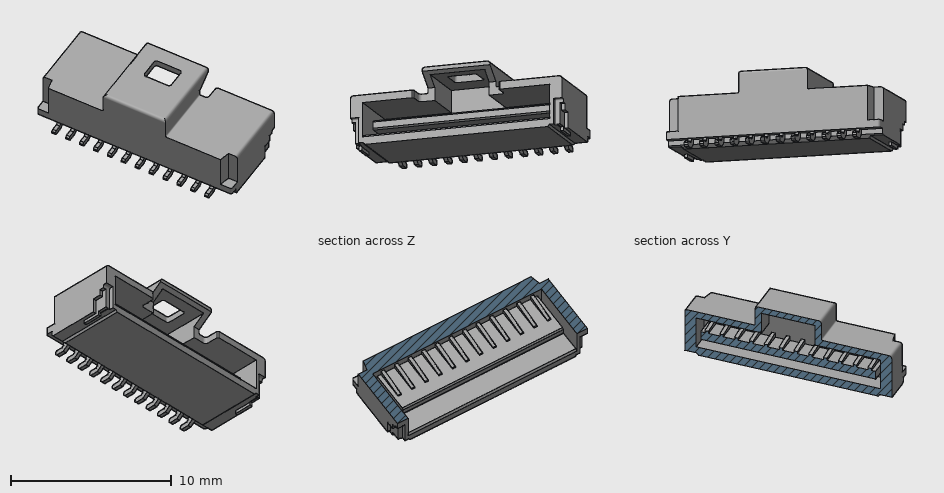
import cadquery as cq


LENGTH = 14.0
HALF_LENGTH = LENGTH / 2
BODY_FRONT_Y = 5.32
BODY_TOP_Z = 3.3
BODY_BOTTOM_Z = 0.22
EDGE_RADIUS = 0.2

HOOD_WIDTH = 4.5
HOOD_FRONT_Y = 5.34
HOOD_TOP_Z = 4.7
HOOD_ROOT_RADIUS = 0.08
HOOD_LIP_Z = 4.44
HOOD_SLOPE_END_Y = 4.24
HOOD_SLOPE_END_Z = 3.64

WALL = 0.5
CAVITY_LENGTH = 12.4
CAVITY_FLOOR_Z = 0.7
CAVITY_BACK_Y = 1.2
HOOD_WALL = 0.45
FLOOR_LEAD_IN = 0.12

TONGUE_LENGTH = 11.8
TONGUE_FRONT_Y = 4.23
TONGUE_BOTTOM_Z = 1.3
TONGUE_TOP_Z = 1.9
TONGUE_CHAMFER = 0.1

RELIEF_LENGTH = 5.64
RELIEF_RADIUS = 0.2
RELIEF_FLARE = 0.1

WINDOW_LENGTH = 1.92
WINDOW_BACK_Y = 2.77
WINDOW_FRONT_Y = 4.28
WINDOW_RADIUS = 0.16

NOTCH_DEPTH = 0.72
NOTCH_INNER_LENGTH = 0.64
NOTCH_OUTER_LENGTH = 0.81
NOTCH_FLOOR_Z = 1.1
CORNER_RADIUS = 0.15

UNDERCUT_TOP_Z = 0.61
UNDERCUT_DEPTH = 0.53
UNDERCUT_CHAMFER_Z = 0.3
RAISED_BASE_Z = 0.08
RAISED_BASE_LENGTH = 12.14
RAISED_BASE_RUN = 0.11

NAIL_OUTER_X = 6.77
NAIL_INNER_X = 6.58
NAIL_FRONT_Y = 5.03
NAIL_STEP_Y = 4.74
NAIL_BACK_Y = 4.15
NAIL_TOP_Z = 1.64
NAIL_STEP_Z = 1.22
NAIL_BOTTOM_Z = 0.27
NAIL_FOOT_FRONT_Y = 4.39
NAIL_FOOT_BACK_Y = 3.1
END_RECESS_X = 6.45
END_RECESS_TOP_Z = 1.86
END_RECESS_RADIUS = 0.1

PIN_COUNT = 12
PITCH = 1.0
PIN_WIDTH = 0.25
TAIL_TIP_Y = -0.56
TAIL_THICKNESS = 0.34
TAIL_OUTER_Y = 0.14
TAIL_HEEL_Y = 0.01
TAIL_BEND_Z = 0.46
TAIL_TIP_CHAMFER = 0.11
BLADE_TIP_Y = 3.22
BLADE_BACK_RISE = 0.3
BLADE_TIP_RISE = 0.05


def block(x_range, y_range, z_range):
    """Box given by its (low, high) limits along each axis."""
    spans = [high - low for low, high in (x_range, y_range, z_range)]
    corner = (x_range[0], y_range[0], z_range[0])
    return cq.Workplane("XY").box(*spans, centered=False).translate(corner)


def centred_block(length, y_range, z_range):
    """Box symmetric about the middle of the pin row."""
    return block((-length / 2, length / 2), y_range, z_range)


def profile_along_x(points, x_start, x_end):
    """Prism with a (y, z) outline, running from x_start to x_end."""
    prism = cq.Workplane("YZ").polyline(points).close().extrude(x_end - x_start)
    return prism.translate((x_start, 0, 0))


def both_ends(solid):
    """The solid together with its mirror image at the other end of the row."""
    return solid.union(solid.mirror("YZ"))


def make_shell():
    """Outer block with the hood, before anything is cut away."""
    body = centred_block(LENGTH, (0, BODY_FRONT_Y), (BODY_BOTTOM_Z, BODY_TOP_Z))
    body = body.edges("|Y and >Z").fillet(EDGE_RADIUS)
    hood = centred_block(HOOD_WIDTH, (0, HOOD_FRONT_Y), (BODY_TOP_Z - WALL, HOOD_TOP_Z))
    hood = hood.faces(">Z").edges("|Y or <Y").fillet(EDGE_RADIUS)
    return body.union(hood).union(make_hood_root()).union(make_raised_base())


def make_hood_root():
    """Concave fillets where the hood sides meet the top of the body."""
    side_x = HOOD_WIDTH / 2
    radius = HOOD_ROOT_RADIUS
    block_y = (0, HOOD_SLOPE_END_Y)
    strip = block((side_x, side_x + radius), block_y, (BODY_TOP_Z, BODY_TOP_Z + radius))
    hollow = (
        cq.Workplane("XZ")
        .center(side_x + radius, BODY_TOP_Z + radius)
        .circle(radius)
        .extrude(-HOOD_SLOPE_END_Y)
    )
    return both_ends(strip.cut(hollow))


def make_raised_base():
    """Shallow pad under the body with sloping ends."""
    bottom_x = RAISED_BASE_LENGTH / 2
    top_x = bottom_x + RAISED_BASE_RUN
    outline = [
        (-top_x, BODY_BOTTOM_Z),
        (-bottom_x, RAISED_BASE_Z),
        (bottom_x, RAISED_BASE_Z),
        (top_x, BODY_BOTTOM_Z),
    ]
    return cq.Workplane("XZ").polyline(outline).close().extrude(-BODY_FRONT_Y)


def make_cavity():
    """Mating cavity, open at the front, with latch room under the hood."""
    y_range = (CAVITY_BACK_Y, HOOD_FRONT_Y)
    main = centred_block(CAVITY_LENGTH, y_range, (CAVITY_FLOOR_Z, BODY_TOP_Z - WALL))
    latch_room = centred_block(
        HOOD_WIDTH - 2 * HOOD_WALL, y_range, (CAVITY_FLOOR_Z, HOOD_TOP_Z - HOOD_WALL)
    )
    lead_in = profile_along_x(
        [
            (BODY_FRONT_Y, CAVITY_FLOOR_Z),
            (BODY_FRONT_Y - FLOOR_LEAD_IN, CAVITY_FLOOR_Z),
            (BODY_FRONT_Y, CAVITY_FLOOR_Z - FLOOR_LEAD_IN),
        ],
        -CAVITY_LENGTH / 2,
        CAVITY_LENGTH / 2,
    )
    return main.union(latch_room).union(lead_in)


def make_hood_undercut():
    """Space below the sloping front lip of the hood."""
    outline = [
        (HOOD_FRONT_Y, HOOD_LIP_Z),
        (HOOD_SLOPE_END_Y, HOOD_SLOPE_END_Z),
        (HOOD_SLOPE_END_Y, BODY_TOP_Z),
        (HOOD_FRONT_Y, BODY_TOP_Z),
    ]
    return profile_along_x(outline, -HOOD_WIDTH / 2, HOOD_WIDTH / 2)


def make_top_relief():
    """Opening in the top wall below the hood lip, flared at the front."""
    z_range = (BODY_TOP_Z - WALL, BODY_TOP_Z)
    relief = centred_block(RELIEF_LENGTH, (HOOD_SLOPE_END_Y, HOOD_FRONT_Y), z_range)
    relief = relief.edges("|Z and <Y").fillet(RELIEF_RADIUS)
    half = RELIEF_LENGTH / 2
    flare = (
        cq.Workplane("XY")
        .workplane(offset=z_range[0])
        .polyline(
            [
                (half, BODY_FRONT_Y - RELIEF_FLARE),
                (half + RELIEF_FLARE, BODY_FRONT_Y),
                (half, BODY_FRONT_Y),
            ]
        )
        .close()
        .extrude(WALL)
    )
    return relief.union(both_ends(flare))


def make_window():
    """Rounded rectangular latch window through the hood roof."""
    y_range = (WINDOW_BACK_Y, WINDOW_FRONT_Y)
    window = centred_block(WINDOW_LENGTH, y_range, (BODY_TOP_Z, HOOD_TOP_Z))
    return window.edges("|Z").fillet(WINDOW_RADIUS)


def make_rear_notches():
    """Upright notches in the two rear corners."""
    outline = [
        (HALF_LENGTH, 0),
        (HALF_LENGTH, NOTCH_DEPTH),
        (HALF_LENGTH - NOTCH_INNER_LENGTH, NOTCH_DEPTH),
        (HALF_LENGTH - NOTCH_OUTER_LENGTH, 0),
    ]
    notch = cq.Workplane("XY").workplane(offset=NOTCH_FLOOR_Z).polyline(outline).close()
    return both_ends(notch.extrude(BODY_TOP_Z - NOTCH_FLOOR_Z))


def make_rear_undercut():
    """Step under the rear edge that clears the solder tails."""
    chamfer = UNDERCUT_CHAMFER_Z - RAISED_BASE_Z
    outline = [
        (0, UNDERCUT_TOP_Z),
        (UNDERCUT_DEPTH, UNDERCUT_TOP_Z),
        (UNDERCUT_DEPTH, UNDERCUT_CHAMFER_Z),
        (UNDERCUT_DEPTH + chamfer, RAISED_BASE_Z),
        (0, RAISED_BASE_Z),
    ]
    return profile_along_x(outline, -HALF_LENGTH, HALF_LENGTH)


def nail_plate_outline():
    """Stepped (y, z) outline of the upright part of a fitting nail."""
    return [
        (NAIL_FRONT_Y, NAIL_TOP_Z),
        (NAIL_STEP_Y, NAIL_TOP_Z),
        (NAIL_STEP_Y, NAIL_STEP_Z),
        (NAIL_BACK_Y, NAIL_STEP_Z),
    ]


def make_nail():
    """Fitting nail: stepped plate with a foot on the soldering plane."""
    outline = nail_plate_outline() + [
        (NAIL_BACK_Y, BODY_BOTTOM_Z),
        (NAIL_FOOT_BACK_Y, BODY_BOTTOM_Z),
        (NAIL_FOOT_BACK_Y, 0),
        (NAIL_FOOT_FRONT_Y, 0),
        (NAIL_FOOT_FRONT_Y, NAIL_BOTTOM_Z),
        (NAIL_FRONT_Y, NAIL_BOTTOM_Z),
    ]
    return profile_along_x(outline, NAIL_INNER_X, NAIL_OUTER_X)


def make_nail_pocket():
    """Pocket in the end wall for a nail, with a deeper recess ahead of it."""
    outline = nail_plate_outline() + [
        (NAIL_BACK_Y, BODY_BOTTOM_Z),
        (NAIL_FRONT_Y, BODY_BOTTOM_Z),
    ]
    pocket = profile_along_x(outline, NAIL_INNER_X, HALF_LENGTH)
    recess = block(
        (END_RECESS_X, HALF_LENGTH),
        (NAIL_FRONT_Y, BODY_FRONT_Y),
        (BODY_BOTTOM_Z, END_RECESS_TOP_Z),
    )
    recess = recess.edges("|X and >Z and <Y").fillet(END_RECESS_RADIUS)
    return pocket.union(recess)


def make_tongue():
    """Tongue reaching forward from the back of the cavity."""
    y_range = (CAVITY_BACK_Y, TONGUE_FRONT_Y)
    tongue = centred_block(TONGUE_LENGTH, y_range, (TONGUE_BOTTOM_Z, TONGUE_TOP_Z))
    return tongue.faces(">Y").edges("|X").chamfer(TONGUE_CHAMFER)


def make_housing():
    """Plastic housing with every opening cut."""
    housing = make_shell().cut(make_rear_notches()).cut(make_rear_undercut())
    rear_corners = cq.selectors.BoxSelector(
        (-LENGTH, -CORNER_RADIUS, UNDERCUT_TOP_Z),
        (LENGTH, CORNER_RADIUS, NOTCH_FLOOR_Z),
    )
    housing = housing.edges("|Z").edges(rear_corners).fillet(CORNER_RADIUS)
    housing = housing.cut(make_cavity()).cut(make_hood_undercut())
    housing = housing.cut(make_top_relief()).cut(make_window())
    return housing.cut(both_ends(make_nail_pocket())).union(make_tongue())


def make_pin():
    """One contact: cranked solder tail behind and sloping blade on the tongue."""
    tail_outline = [
        (UNDERCUT_DEPTH, UNDERCUT_TOP_Z),
        (UNDERCUT_DEPTH, UNDERCUT_CHAMFER_Z),
        (TAIL_OUTER_Y, 0),
        (TAIL_TIP_Y, 0),
        (TAIL_TIP_Y, TAIL_THICKNESS),
        (TAIL_HEEL_Y, TAIL_THICKNESS),
        (TAIL_OUTER_Y, TAIL_BEND_Z),
        (TAIL_OUTER_Y, UNDERCUT_TOP_Z),
    ]
    tail = profile_along_x(tail_outline, -PIN_WIDTH / 2, PIN_WIDTH / 2)
    tail = tail.edges("|X and <Y").chamfer(TAIL_TIP_CHAMFER)
    blade_outline = [
        (CAVITY_BACK_Y, TONGUE_BOTTOM_Z),
        (CAVITY_BACK_Y, TONGUE_TOP_Z + BLADE_BACK_RISE),
        (BLADE_TIP_Y - BLADE_TIP_RISE, TONGUE_TOP_Z + BLADE_TIP_RISE),
        (BLADE_TIP_Y, TONGUE_TOP_Z),
        (BLADE_TIP_Y, TONGUE_BOTTOM_Z),
    ]
    blade = profile_along_x(blade_outline, -PIN_WIDTH / 2, PIN_WIDTH / 2)
    return tail, blade


def make_connector():
    """Housing with its fitting nails and the row of contacts."""
    connector = make_housing().union(both_ends(make_nail()))
    first_x = -PITCH * (PIN_COUNT - 1) / 2
    for index in range(PIN_COUNT):
        for piece in make_pin():
            connector = connector.union(piece.translate((first_x + index * PITCH, 0, 0)))
    return connector


result = make_connector()